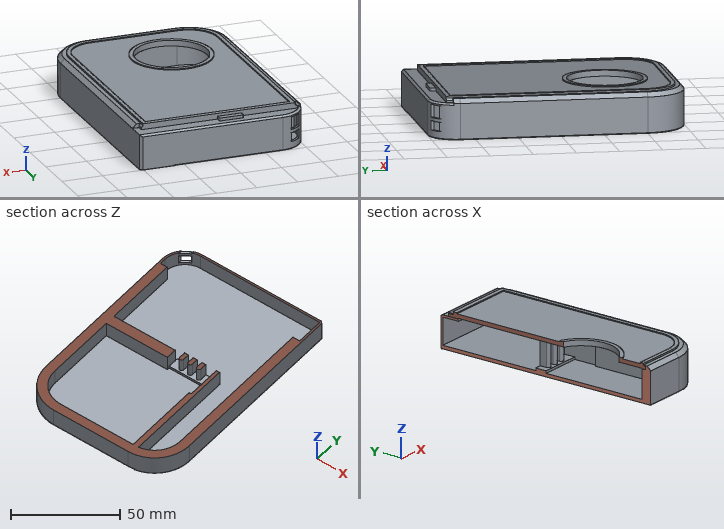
import cadquery as cq
width = 83.0
length = 120.0
half_width = width / 2
half_length = length / 2
front_corner_radius = 20.0
back_left_radius = 13.0
back_right_chamfer = 1.2
housing_top = 19.0
rim_chamfer = 2.0
base_chamfer = 0.4
base_chamfer_end = 25.0

deck_height = housing_top - rim_chamfer
deck_front = 50.0
deck_chamfer_drop = 0.8
deck_chamfer_width = 1.2

lid_top = 19.78
lid_back = 53.0
lid_inset = 4.1
dovetail_flare = 0.9
flare_inset = lid_inset - dovetail_flare
flank_drop = 1.0
rim_width = 2.0
back_rim_width = 2.3
panel_height = 19.28
window_diameter = 35.0
window_ring_diameter = 39.0
window_x = -7.5
window_y = -26.0
tab_width = 11.8
tab_center_x = -5.0
tab_reach = 2.7
tab_top = 18.4
tab_corner_radius = 0.5

floor_height = 2.0
side_wall = 5.2
back_wall = 1.3
deck_roof = 1.4
pocket_front = 44.0
partition_thickness = 2.0
bay_right = 21.7
bay_back = -1.6
bay_wall_end = -1.0
pilaster_depth = 1.2
pilaster_back = -13.0
sill_front = -0.3
partition_depth = 6.0
sill_height = 1.2
fin_thickness = 2.4
fin_pitch = 5.0
fin_count = 3
first_fin_x = 4.5
fin_nose_y = 2.0

slot_left = -37.8
slot_right = -33.0
slot_heights = [(3.5, 7.8), (9.4, 15.5)]


def block(x_min, x_max, y_min, y_max, z_min, z_max):
    size = (x_max - x_min, y_max - y_min, z_max - z_min)
    return cq.Workplane("XY").box(*size, centered=False).translate((x_min, y_min, z_min))


def housing_prism(height):
    prism = block(-half_width, half_width, -half_length, half_length, 0, height)
    prism = prism.edges("|Z and <Y").fillet(front_corner_radius)
    prism = prism.edges("|Z and >Y and <X").fillet(back_left_radius)
    return prism.edges("|Z and >Y and >X").chamfer(back_right_chamfer)


def lid_slab(inset, z_min, z_max):
    """Slab that follows the front of the housing outline and ends square at the back."""
    half = half_width - inset
    slab = block(-half, half, inset - half_length, lid_back, z_min, z_max)
    return slab.edges("|Z and <Y").fillet(front_corner_radius - inset)


def lid_envelope():
    """Solid lid outline: straight lower band, flanks leaning inwards, straight upper band."""
    lower = lid_slab(flare_inset, deck_height, housing_top)
    lower = lower.faces(">Z").edges("not(>Y)").chamfer(dovetail_flare, flank_drop)
    return lower.union(lid_slab(lid_inset, deck_height, lid_top))


def make_shell():
    """Block with a chamfered rim and a lower chamfered deck at the back.

    The base edge is chamfered except toward the right side, which stays sharp.
    """
    front_zone = block(-half_width, half_width, -half_length, deck_front, 0, housing_top)
    front = housing_prism(housing_top).faces(">Z").edges("<Y")
    front = front.chamfer(rim_chamfer).intersect(front_zone)

    deck_zone = block(-half_width, half_width, deck_front, half_length, 0, deck_height)
    deck = housing_prism(deck_height).intersect(deck_zone)
    deck = deck.faces(">Z").edges(">Y").chamfer(deck_chamfer_width, deck_chamfer_drop)
    shell = front.union(deck)
    plain_side = shell.intersect(block(base_chamfer_end, half_width, -half_length, half_length,
                                       0, housing_top))
    return shell.faces("<Z").chamfer(base_chamfer).union(plain_side)


def make_cavity():
    """Space inside the walls, open to the lid and running back under the deck."""
    half = half_width - side_wall
    deck_half = half_width - back_wall
    open_part = block(-half, half, side_wall - half_length, deck_front, floor_height, deck_height)
    open_part = open_part.edges("|Z and <Y").fillet(front_corner_radius - side_wall)
    under_deck = block(-deck_half, deck_half, pocket_front, half_length - back_wall,
                       floor_height, deck_height - deck_roof)
    under_deck = under_deck.edges("|Z and >Y and <X").fillet(back_left_radius - back_wall)
    return open_part.union(under_deck)


def make_partitions():
    """Walls that enclose the bay below the window, with a row of fins on a low sill."""
    half = half_width - side_wall
    bay_front = side_wall - half_length
    back = block(-half, bay_wall_end, bay_back, bay_back + partition_depth, floor_height, deck_height)
    side = block(bay_right, bay_right + partition_thickness, bay_front,
                 sill_front + partition_depth, floor_height, deck_height)
    pilaster = block(bay_right - pilaster_depth, bay_right, bay_front,
                     pilaster_back, floor_height, deck_height)
    sill_top = floor_height + sill_height
    sill = block(bay_wall_end, bay_right, sill_front, sill_front + partition_depth, floor_height, sill_top)
    walls = back.union(side).union(pilaster).union(sill)
    for index in range(fin_count):
        walls = walls.union(make_fin(first_fin_x + index * fin_pitch))
    return walls


def make_fin(x):
    """Upright fin with a rounded front edge."""
    radius = fin_thickness / 2
    height = deck_height - floor_height
    fin = block(x - radius, x + radius, fin_nose_y, sill_front + partition_depth, floor_height, deck_height)
    nose = cq.Workplane("XY").circle(radius).extrude(height)
    return fin.union(nose.translate((x, fin_nose_y, floor_height)))


def make_housing():
    body = make_shell().cut(make_cavity()).union(make_partitions()).cut(lid_envelope())
    slot_front = half_length - back_left_radius
    for bottom, top in slot_heights:
        body = body.cut(block(slot_left, slot_right, slot_front, half_length, bottom, top))
    return body


def make_lid():
    """Panel framed by a raised rim, with a ringed round window and a finger tab at the back."""
    recess = lid_slab(lid_inset + rim_width, panel_height, lid_top)
    recess = recess.intersect(block(-half_width, half_width, -half_length,
                                    lid_back - back_rim_width, panel_height, lid_top))
    ring = cq.Workplane("XY").circle(window_ring_diameter / 2).extrude(lid_top - panel_height)
    recess = recess.cut(ring.translate((window_x, window_y, panel_height)))

    tab = block(tab_center_x - tab_width / 2, tab_center_x + tab_width / 2,
                lid_back, lid_back + tab_reach, deck_height, tab_top)
    tab = tab.edges("|Z and >Y").fillet(tab_corner_radius)

    window = cq.Workplane("XY").circle(window_diameter / 2).extrude(lid_top)
    window = window.translate((window_x, window_y, 0))
    return lid_envelope().union(tab).cut(recess).cut(window)


housing = make_housing()
lid = make_lid()
result = cq.Compound.makeCompound([housing.val(), lid.val()])